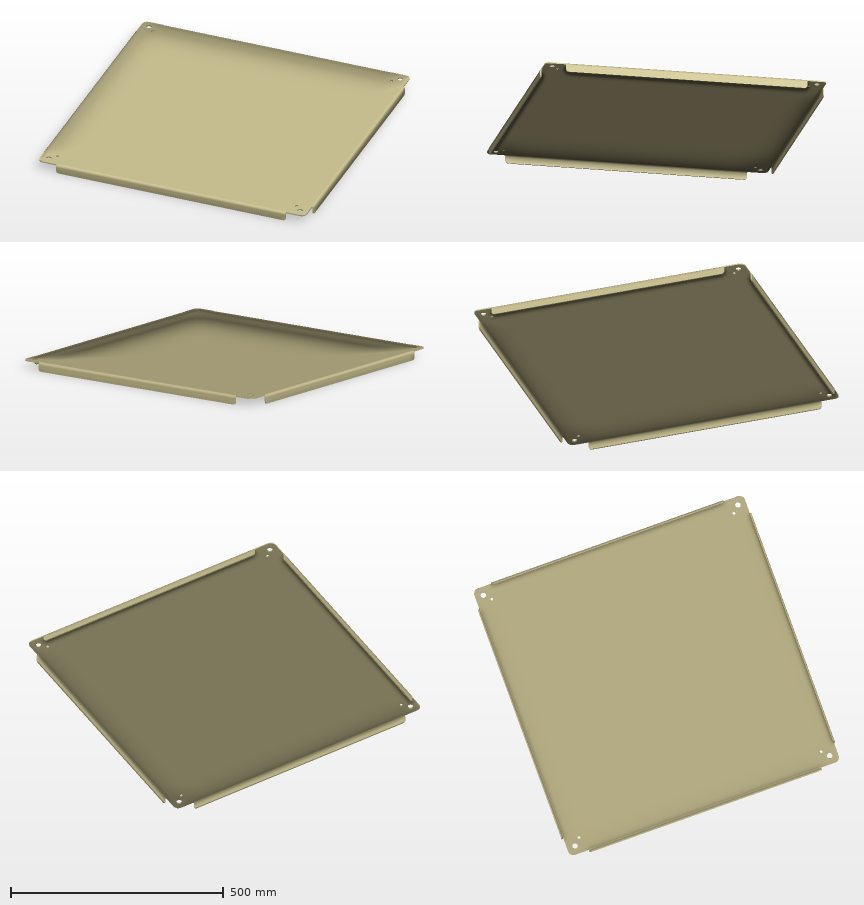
import cadquery as cq

outer_side = 684.0
height = 22.0
thickness = 3.0

edge_setback = 3.5
corner_radius = 13.0

flange_length = 581.5
bend_outer_radius = 6.5
bend_inner_radius = bend_outer_radius - thickness
flange_corner_radius = 7.0

large_hole_diameter = 13.0
large_hole_offset = 319.0
small_hole_diameter = 7.0
small_hole_offset = 303.0

half_side = outer_side / 2
bend_start = half_side - bend_outer_radius
plate_side = outer_side - 2 * edge_setback


def make_plate():
    """Flat sheet with rounded corners, notched where the flanges bend down."""
    plate = (
        cq.Workplane("XY", origin=(0, 0, height - thickness))
        .rect(plate_side, plate_side)
        .extrude(thickness)
        .edges("|Z")
        .fillet(corner_radius)
    )
    bend_zone = (
        cq.Workplane("XY")
        .pushPoints([(half_side, 0), (-half_side, 0)])
        .rect(2 * bend_outer_radius, flange_length)
        .extrude(height)
    )
    return plate.cut(bend_zone).cut(bend_zone.rotate((0, 0, 0), (0, 0, 1), 90))


def make_flange():
    """Bent-down lip along the +X side, with rounded lower corners."""
    return (
        cq.Workplane("XZ", origin=(bend_start, 0, 0))
        .moveTo(0, height)
        .radiusArc((bend_outer_radius, height - bend_outer_radius), bend_outer_radius)
        .lineTo(bend_outer_radius, 0)
        .lineTo(bend_inner_radius, 0)
        .lineTo(bend_inner_radius, height - bend_outer_radius)
        .radiusArc((0, height - thickness), -bend_inner_radius)
        .close()
        .extrude(flange_length / 2, both=True)
        .faces("<Z")
        .edges("|X")
        .fillet(flange_corner_radius)
    )


def make_corner_holes(diameter, offset):
    """Cutters for one hole near each corner of the plate."""
    return (
        cq.Workplane("XY")
        .rect(2 * offset, 2 * offset, forConstruction=True)
        .vertices()
        .circle(diameter / 2)
        .extrude(height)
    )


result = make_plate()
flange = make_flange()
for angle in (0, 90, 180, 270):
    result = result.union(flange.rotate((0, 0, 0), (0, 0, 1), angle))

result = result.cut(make_corner_holes(large_hole_diameter, large_hole_offset))
result = result.cut(make_corner_holes(small_hole_diameter, small_hole_offset))